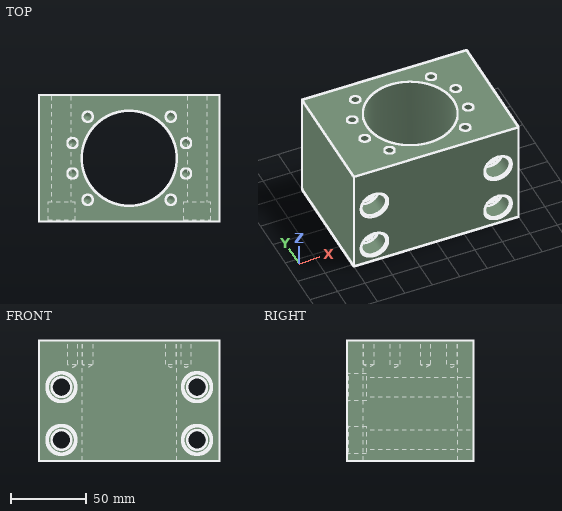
import cadquery as cq
import math

length = 120
width = 84
height = 80.0

bore_diameter = 63.0

screw_hole_diameter = 6.8
screw_hole_depth = 16.0
drill_point_angle = 118
screw_circle_radius = 39.0
screw_angles_from_x = (-45, -15, 15, 45)

mount_hole_diameter = 13.0
counterbore_diameter = 18
counterbore_depth = 13.0
counterbore_chamfer = 1.0
mount_end_distance = 15.0
mount_lower_z = 14.0
mount_spacing_z = 35.0


def screw_hole(angle):
    """Blind hole with a conical drill point, at an angle around the bore axis."""
    radius = screw_hole_diameter / 2
    point_length = radius / math.tan(math.radians(drill_point_angle / 2))
    half_section = (
        cq.Workplane("XZ")
        .lineTo(radius, 0)
        .lineTo(radius, -screw_hole_depth)
        .lineTo(0, -screw_hole_depth - point_length)
        .close()
    )
    x = screw_circle_radius * math.cos(math.radians(angle))
    y = screw_circle_radius * math.sin(math.radians(angle))
    return half_section.revolve(360, (0, 0, 0), (0, 1, 0)).translate((x, y, height))


def mount_hole(x, z):
    """Through hole along Y with a counterbore and mouth chamfer on the -Y face."""
    hole_radius = mount_hole_diameter / 2
    counterbore_radius = counterbore_diameter / 2
    mouth_radius = counterbore_radius + counterbore_chamfer
    half_section = (
        cq.Workplane("XY")
        .lineTo(mouth_radius, 0)
        .lineTo(counterbore_radius, counterbore_chamfer)
        .lineTo(counterbore_radius, counterbore_depth)
        .lineTo(hole_radius, counterbore_depth)
        .lineTo(hole_radius, width)
        .lineTo(0, width)
        .close()
    )
    return half_section.revolve(360, (0, 0, 0), (0, 1, 0)).translate((x, -width / 2, z))


result = cq.Workplane("XY").box(length, width, height, centered=(True, True, False))
result = result.faces(">Z").workplane().hole(bore_diameter)

for side_angle in (0, 180):
    for screw_angle in screw_angles_from_x:
        result = result.cut(screw_hole(side_angle + screw_angle))

mount_x = length / 2 - mount_end_distance
for x in (-mount_x, mount_x):
    for z in (mount_lower_z, mount_lower_z + mount_spacing_z):
        result = result.cut(mount_hole(x, z))